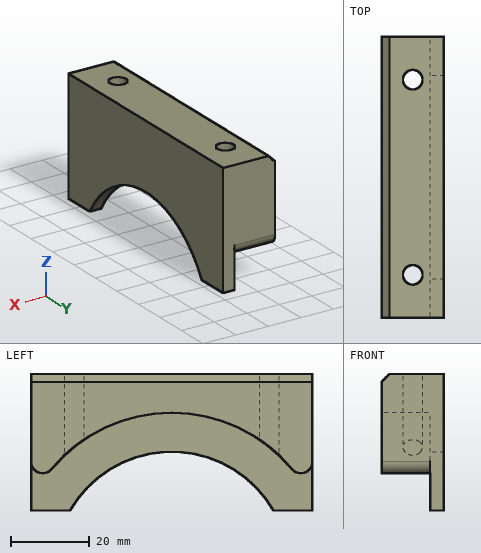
import cadquery as cq
import math

width = 16.0
length = 72.0
height = 35.0
top_chamfer = 2.0

flange_thickness = 3.5

flange_arch_radius = 30.0
body_arch_radius = 40.0
arch_center_z = -15.0
foot_radius = 2.95

hole_diameter = 5.0
hole_spacing = 50.0


def make_body():
    """Chamfered block with an arched underside that ends in two rounded feet."""
    foot_y = length / 2 - foot_radius
    center_distance = body_arch_radius + foot_radius
    foot_rise = math.sqrt(center_distance**2 - foot_y**2)
    foot_z = arch_center_z + foot_rise
    tangent_y = foot_y * body_arch_radius / center_distance
    tangent_z = arch_center_z + foot_rise * body_arch_radius / center_distance
    foot_bottom_z = foot_z - foot_radius
    arch_top_z = arch_center_z + body_arch_radius
    block = (
        cq.Workplane("YZ", origin=(-width / 2, 0, 0))
        .moveTo(-length / 2, height)
        .lineTo(-length / 2, foot_z)
        .threePointArc((-foot_y, foot_bottom_z), (-tangent_y, tangent_z))
        .threePointArc((0, arch_top_z), (tangent_y, tangent_z))
        .threePointArc((foot_y, foot_bottom_z), (length / 2, foot_z))
        .lineTo(length / 2, height)
        .close()
        .extrude(width)
    )
    return block.faces("<X").edges(">Z").chamfer(top_chamfer)


def make_flange():
    """Full-height plate on the +X side with the smaller arch cut from its base."""
    flange_x = width / 2 - flange_thickness
    plate = (
        cq.Workplane("XY", origin=(flange_x, 0, 0))
        .box(flange_thickness, length, height, centered=(False, True, False))
    )
    arch = (
        cq.Workplane("YZ", origin=(flange_x, 0, arch_center_z))
        .circle(flange_arch_radius)
        .extrude(flange_thickness)
    )
    return plate.cut(arch)


def make_holes():
    """Vertical pins for the two through holes, centred across the width."""
    return (
        cq.Workplane("XY")
        .pushPoints([(0, -hole_spacing / 2), (0, hole_spacing / 2)])
        .circle(hole_diameter / 2)
        .extrude(height)
    )


result = make_body().union(make_flange()).cut(make_holes())